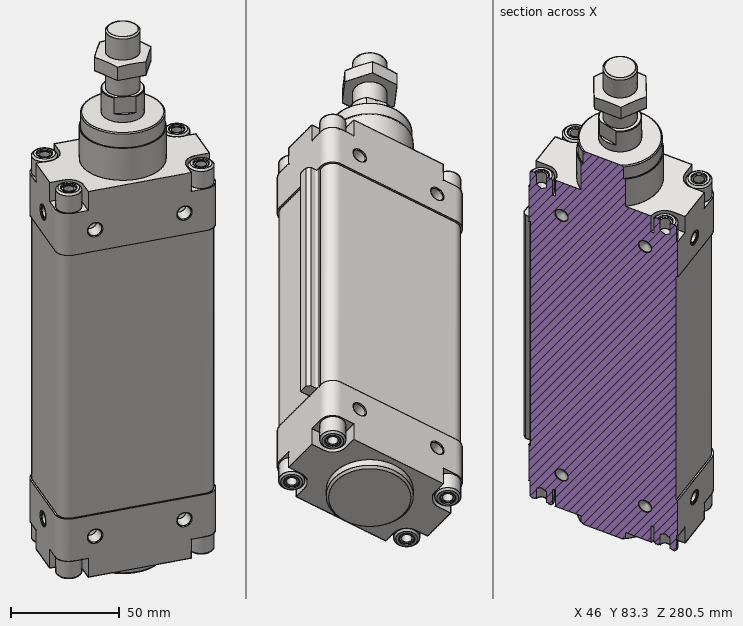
import cadquery as cq
import math

CAP_WIDTH = 46.0
CAP_DEPTH = 78.3
TUBE_INSET = 0.8
TOTAL_HEIGHT = 280.5

REAR_CAP_BOTTOM = 4.8
REAR_CAP_TOP = 37.5
FRONT_CAP_BOTTOM = 178.7
FRONT_CAP_TOP = 211.2
SCREW_SPACING_X = 32.8
SCREW_SPACING_Y = 64.8
CORNER_RADIUS = (CAP_WIDTH - SCREW_SPACING_X) / 2

BOSS_DIAMETER = 40.0
BOSS_NECK_DIAMETER = 39.0
BOSS_STEP = 228.3
BOSS_TOP = 236.2
BOSS_CHAMFER = 0.5
REAR_BOSS_CHAMFER = 1.0

NOTCH_RADIUS = 14.3 / 2
NOTCH_HEIGHT = 10.0
HEAD_DIAMETER = 12.0
HEAD_END_DIAMETER = 10.0

HOLE_MOUTH_DIAMETER = 7.5
HOLE_DIAMETER = 6.7
HOLE_DEPTH = 7.0
DRILL_POINT_ANGLE = 118.0
SIDE_HOLE_Y = 22.0
STEP_DIAMETER = 5.0
STEP_DEPTH = 0.5
HOLE_FROM_TUBE = 11.5

RAIL_LEFT = -13.2
RAIL_WIDTH = 6.0
RAIL_HEIGHT = 5.0
RAIL_TOP = CAP_DEPTH / 2 + RAIL_HEIGHT
RAIL_CHAMFER = 1.7
RAIL_ROOT_RADIUS = 0.8
RAIL_FOOT = 1.7

ROD_DIAMETER = 20.0
ROD_SHOULDER = 249.0
THREAD_DIAMETER = 16.0
THREAD_CHAMFER = 0.8
SHOULDER_CHAMFER = 0.3
FLATS_ACROSS = 17.0
FLATS_HEIGHT = 8.7
FLATS_ANGLE = -13.0

NUT_SIDES = 6
NUT_ACROSS_FLATS = 24.0
NUT_BOTTOM = 261.0
NUT_HEIGHT = 7.5
NUT_FACE_DIAMETER = 23.5
NUT_BEVEL_HEIGHT = 0.42

CORNERS = [(sx, sy) for sx in (-1, 1) for sy in (-1, 1)]
HOLE_LEVELS = (REAR_CAP_TOP - HOLE_FROM_TUBE, FRONT_CAP_BOTTOM + HOLE_FROM_TUBE)


def rounded_block(width, depth, radius, bottom, top):
    block = cq.Workplane("XY").workplane(offset=bottom).rect(width, depth).extrude(top - bottom)
    return block.edges("|Z").fillet(radius)


def cylinder(diameter, bottom, top):
    return cq.Workplane("XY").workplane(offset=bottom).circle(diameter / 2).extrude(top - bottom)


def drill(diameter, depth, pointed):
    """Drill cutter that starts at the origin and goes down -Z."""
    radius = diameter / 2
    point = radius / math.tan(math.radians(DRILL_POINT_ANGLE / 2)) if pointed else 0
    profile = cq.Workplane("XZ").lineTo(radius, 0).lineTo(radius, -depth).lineTo(0, -depth - point)
    return profile.close().revolve(360, (0, 0, 0), (0, 1, 0))


def countersunk_hole(depth, pointed):
    """Hole down -Z from the origin with a 45 degree countersink at its mouth."""
    countersink = (HOLE_MOUTH_DIAMETER - HOLE_DIAMETER) / 2
    mouth = cq.Workplane("XY").circle(HOLE_MOUTH_DIAMETER / 2)
    mouth = mouth.workplane(offset=-countersink).circle(HOLE_DIAMETER / 2).loft()
    return drill(HOLE_DIAMETER, depth, pointed).union(mouth)


def stepped_hole(pointed):
    """Countersunk mouth and a short bore that steps down to a narrower hole."""
    return countersunk_hole(STEP_DEPTH, False).union(drill(STEP_DIAMETER, HOLE_DEPTH, pointed))


def corner_notch(sx, sy, bottom):
    """Clearance around a screw head, open to the two outer faces of the corner."""
    size = 2 * NOTCH_RADIUS
    notch = (
        cq.Workplane("XY").workplane(offset=bottom)
        .center(sx * SCREW_SPACING_X / 2, sy * SCREW_SPACING_Y / 2)
        .rect(size, size).extrude(NOTCH_HEIGHT)
    )
    inner_edge = ("<X" if sx > 0 else ">X") + " and " + ("<Y" if sy > 0 else ">Y")
    return notch.edges("|Z and " + inner_edge).fillet(NOTCH_RADIUS)


def screw_head(faces_up):
    """Screw head seated at Z = 0, its socket end pointing up or down."""
    bevel = (HEAD_DIAMETER - HEAD_END_DIAMETER) / 2
    head = cylinder(HEAD_DIAMETER, 0, NOTCH_HEIGHT).faces(">Z").chamfer(bevel)
    head = head.cut(stepped_hole(True).translate((0, 0, NOTCH_HEIGHT)))
    return head if faces_up else head.rotate((0, 0, 0), (1, 0, 0), 180)


def add_corner_screws(body):
    for sx, sy in CORNERS:
        front_floor = FRONT_CAP_TOP - NOTCH_HEIGHT
        rear_floor = REAR_CAP_BOTTOM + NOTCH_HEIGHT
        body = body.cut(corner_notch(sx, sy, front_floor)).cut(corner_notch(sx, sy, REAR_CAP_BOTTOM))
        place = (sx * SCREW_SPACING_X / 2, sy * SCREW_SPACING_Y / 2)
        body = body.union(screw_head(True).translate((*place, front_floor)))
        body = body.union(screw_head(False).translate((*place, rear_floor)))
    return body


def cut_side_holes(body):
    side_hole = countersunk_hole(HOLE_DEPTH, True)
    side_hole = side_hole.rotate((0, 0, 0), (0, 1, 0), -90)
    port = stepped_hole(False)
    port = port.rotate((0, 0, 0), (1, 0, 0), 90)
    for level in HOLE_LEVELS:
        body = body.cut(port.translate((0, -CAP_DEPTH / 2, level)))
        for y in (-SIDE_HOLE_Y, SIDE_HOLE_Y):
            left_hole = side_hole.translate((-CAP_WIDTH / 2, y, level))
            body = body.cut(left_hole).cut(left_hole.mirror("YZ"))
    return body


def sensor_rail():
    """Rail with a beveled outer left edge and a fillet down to a low foot on its left."""
    root = CAP_DEPTH / 2 - 2 * TUBE_INSET
    foot_face = CAP_DEPTH / 2
    right = RAIL_LEFT + RAIL_WIDTH
    fillet_middle = RAIL_ROOT_RADIUS * (1 - math.sqrt(0.5))
    return (
        cq.Workplane("XY").workplane(offset=REAR_CAP_TOP)
        .moveTo(RAIL_LEFT - RAIL_FOOT, root)
        .lineTo(RAIL_LEFT - RAIL_FOOT, foot_face)
        .lineTo(RAIL_LEFT - RAIL_ROOT_RADIUS, foot_face)
        .threePointArc(
            (RAIL_LEFT - fillet_middle, foot_face + fillet_middle),
            (RAIL_LEFT, foot_face + RAIL_ROOT_RADIUS),
        )
        .lineTo(RAIL_LEFT, RAIL_TOP - RAIL_CHAMFER)
        .lineTo(RAIL_LEFT + RAIL_CHAMFER, RAIL_TOP)
        .lineTo(right, RAIL_TOP)
        .lineTo(right, root)
        .close()
        .extrude(FRONT_CAP_BOTTOM - REAR_CAP_TOP)
    )


def make_housing():
    tube = rounded_block(
        CAP_WIDTH - 2 * TUBE_INSET, CAP_DEPTH - 2 * TUBE_INSET, CORNER_RADIUS - TUBE_INSET,
        REAR_CAP_TOP, FRONT_CAP_BOTTOM,
    )
    rear_cap = rounded_block(CAP_WIDTH, CAP_DEPTH, CORNER_RADIUS, REAR_CAP_BOTTOM, REAR_CAP_TOP)
    front_cap = rounded_block(CAP_WIDTH, CAP_DEPTH, CORNER_RADIUS, FRONT_CAP_BOTTOM, FRONT_CAP_TOP)
    rear_boss = cylinder(BOSS_DIAMETER, 0, REAR_CAP_BOTTOM)
    rear_boss = rear_boss.faces("<Z").chamfer(REAR_BOSS_CHAMFER)
    front_boss = cylinder(BOSS_DIAMETER, FRONT_CAP_TOP, BOSS_STEP)
    boss_neck = cylinder(BOSS_NECK_DIAMETER, BOSS_STEP, BOSS_TOP).faces(">Z").chamfer(BOSS_CHAMFER)

    body = tube.union(rear_cap).union(front_cap).union(sensor_rail())
    body = body.union(rear_boss).union(front_boss).union(boss_neck)
    body = add_corner_screws(body)
    return cut_side_holes(body)


def make_rod():
    shank = cylinder(ROD_DIAMETER, BOSS_TOP, ROD_SHOULDER).faces(">Z").chamfer(SHOULDER_CHAMFER)
    flats = (
        cq.Workplane("XY").workplane(offset=ROD_SHOULDER - FLATS_HEIGHT)
        .rect(2 * ROD_DIAMETER, 2 * ROD_DIAMETER).rect(FLATS_ACROSS, 2 * ROD_DIAMETER)
        .extrude(FLATS_HEIGHT).rotate((0, 0, 0), (0, 0, 1), FLATS_ANGLE)
    )
    thread = cylinder(THREAD_DIAMETER, ROD_SHOULDER, TOTAL_HEIGHT).faces(">Z").chamfer(THREAD_CHAMFER)
    return shank.cut(flats).union(thread)


def make_nut():
    """Hexagon with two flats facing +X and -X and its corners beveled on top."""
    half_corner_angle = 180 / NUT_SIDES
    corner_diameter = NUT_ACROSS_FLATS / math.cos(math.radians(half_corner_angle))
    nut = (
        cq.Workplane("XY").workplane(offset=NUT_BOTTOM)
        .polygon(NUT_SIDES, corner_diameter).circle(THREAD_DIAMETER / 2).extrude(NUT_HEIGHT)
    )
    nut = nut.rotate((0, 0, 0), (0, 0, 1), half_corner_angle)
    bevel_width = (corner_diameter - NUT_FACE_DIAMETER) / 2
    beveled_round = cylinder(corner_diameter, NUT_BOTTOM, NUT_BOTTOM + NUT_HEIGHT)
    beveled_round = beveled_round.faces(">Z").chamfer(NUT_BEVEL_HEIGHT, bevel_width)
    return nut.intersect(beveled_round)


housing = make_housing().solids()
rod = make_rod().solids()
nut = make_nut().solids()

result = cq.Compound.makeCompound([housing.val(), rod.val(), nut.val()])